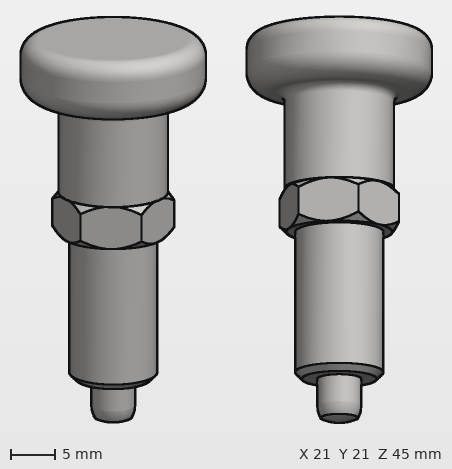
import cadquery as cq
import math

TOTAL_HEIGHT = 45.0
SLEEVE_BOTTOM = 5.0
HEX_BOTTOM = 22.0
HEX_TOP = 27.0

KNOB_RADIUS = 21.0 / 2
KNOB_THICKNESS = 7.0
KNOB_TOP_ROUND = 2.0
KNOB_BOTTOM_ROUND = 2.5
NECK_RADIUS = 12.4 / 2
NECK_FILLET = 1.0

PIN_RADIUS = 5.0 / 2
PIN_TAPER_START = 1.85
PIN_TIP_RADIUS = 2.1
PIN_DOME_HEIGHT = 0.5

SLEEVE_RADIUS = 10.0 / 2
SLEEVE_CHAMFER = 0.75
HEX_ACROSS_FLATS = 11.95
HEX_CORNER_RADIUS = HEX_ACROSS_FLATS / 2 / math.cos(math.pi / 6)


def make_knob():
    """Round knob with a filleted neck that rests on the hexagon."""
    head_bottom = TOTAL_HEIGHT - KNOB_THICKNESS
    top_flat_radius = KNOB_RADIUS - KNOB_TOP_ROUND
    bottom_flat_radius = KNOB_RADIUS - KNOB_BOTTOM_ROUND
    return (
        cq.Workplane("XZ")
        .moveTo(0, HEX_TOP)
        .lineTo(NECK_RADIUS, HEX_TOP)
        .lineTo(NECK_RADIUS, head_bottom - NECK_FILLET)
        .tangentArcPoint((NECK_RADIUS + NECK_FILLET, head_bottom), relative=False)
        .lineTo(bottom_flat_radius, head_bottom)
        .tangentArcPoint((KNOB_RADIUS, head_bottom + KNOB_BOTTOM_ROUND), relative=False)
        .lineTo(KNOB_RADIUS, TOTAL_HEIGHT - KNOB_TOP_ROUND)
        .tangentArcPoint((top_flat_radius, TOTAL_HEIGHT), relative=False)
        .lineTo(0, TOTAL_HEIGHT)
        .close()
        .revolve(360, (0, 0, 0), (0, 1, 0))
    )


def make_pin():
    """Locking pin with a curved taper and a shallow spherical end."""
    dome_radius = (PIN_TIP_RADIUS**2 + PIN_DOME_HEIGHT**2) / (2 * PIN_DOME_HEIGHT)
    dome_mid_radius = PIN_TIP_RADIUS / 2
    dome_mid_height = dome_radius - math.sqrt(dome_radius**2 - dome_mid_radius**2)
    return (
        cq.Workplane("XZ")
        .moveTo(0, HEX_TOP)
        .lineTo(PIN_RADIUS, HEX_TOP)
        .lineTo(PIN_RADIUS, PIN_TAPER_START)
        .tangentArcPoint((PIN_TIP_RADIUS, PIN_DOME_HEIGHT), relative=False)
        .threePointArc((dome_mid_radius, dome_mid_height), (0, 0))
        .close()
        .revolve(360, (0, 0, 0), (0, 1, 0))
    )


def make_plunger():
    """Knob and locking pin as one moving body."""
    return make_knob().union(make_pin())


def make_hexagon():
    """Hexagon with corners on X, its ends trimmed by 45 degree cones."""
    height = HEX_TOP - HEX_BOTTOM
    prism = (
        cq.Workplane("XY")
        .workplane(offset=HEX_BOTTOM)
        .polygon(6, 2 * HEX_CORNER_RADIUS)
        .extrude(height)
    )
    corner_chamfer = HEX_CORNER_RADIUS - HEX_ACROSS_FLATS / 2
    trimming_disc = (
        cq.Workplane("XY")
        .workplane(offset=HEX_BOTTOM)
        .circle(HEX_CORNER_RADIUS)
        .extrude(height)
        .edges("%CIRCLE")
        .chamfer(corner_chamfer)
    )
    return prism.intersect(trimming_disc)


def make_sleeve():
    """Hexagon and chamfered barrel, bored through for the pin."""
    barrel = (
        cq.Workplane("XZ")
        .moveTo(0, SLEEVE_BOTTOM)
        .lineTo(SLEEVE_RADIUS - SLEEVE_CHAMFER, SLEEVE_BOTTOM)
        .lineTo(SLEEVE_RADIUS, SLEEVE_BOTTOM + SLEEVE_CHAMFER)
        .lineTo(SLEEVE_RADIUS, HEX_TOP)
        .lineTo(0, HEX_TOP)
        .close()
        .revolve(360, (0, 0, 0), (0, 1, 0))
    )
    bore = cq.Workplane("XY").circle(PIN_RADIUS).extrude(HEX_TOP)
    return make_hexagon().union(barrel).cut(bore)


plunger = make_plunger()
sleeve = make_sleeve()

result = cq.Compound.makeCompound([*plunger.solids().vals(), *sleeve.solids().vals()])